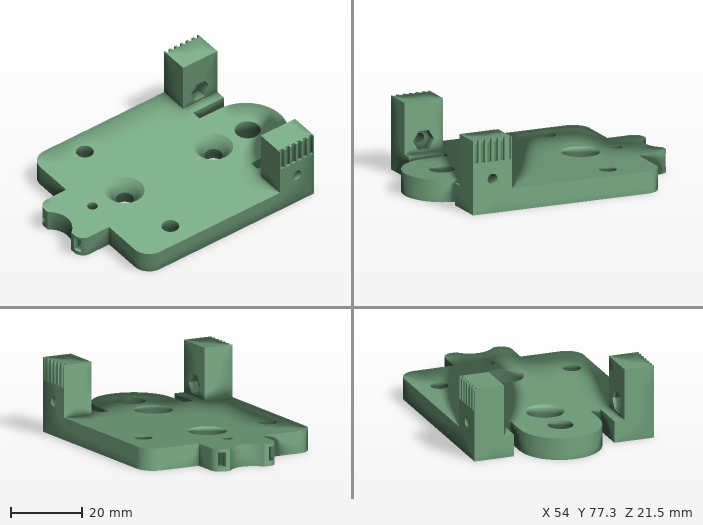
import cadquery as cq

width = 54.0
plate_length = 59.0
thickness = 6.4
corner_radius = 5.0

total_length = 77.25
total_height = 21.5

tab_width = 20.0
tab_length = 9.9
tab_corner_radius = 3.0
notch_depth = 2.85
notch_width = 11.0

channel_inner_radius = 6.9
channel_outer_radius = 9.05
channel_floor = 1.2
channel_height = 4.25

tongue_width = 23.95
slot_width = 3.1
slot_depth = 10.8

block_width = 8.9
block_length = 12.0

groove_count = 6
groove_pitch = 2.0
groove_width = 1.2
groove_depth = 0.85
groove_height = 6.6
groove_margin = 0.4

screw_diameter = 3.0
screw_height = 9.9
nut_across_corners = 6.5
nut_depth = 2.85

hole_diameter = 5.0
side_hole_x = 19.9
side_hole_y = 14.0
sink_diameter = 11.1
sink_angle = 90
front_sink_y = 13.0
rear_sink_y = 44.0
tongue_hole_diameter = 7.3
tongue_hole_y = 56.0
pin_diameter = 3.0
pin_y = 1.7
pin_depth = 3.1

tab_end = -tab_length
tongue_end = total_length - tab_length
tongue_radius = tongue_width / 2
tongue_centre_y = tongue_end - tongue_radius
slot_floor_y = plate_length - slot_depth
block_centre_y = plate_length - block_length / 2
notch_radius = ((notch_width / 2) ** 2 + notch_depth**2) / (2 * notch_depth)
notch_centre_y = tab_end + notch_depth - notch_radius


def base_plate():
    body = (
        cq.Workplane("XY")
        .rect(width, plate_length)
        .extrude(thickness)
        .translate((0, plate_length / 2, 0))
        .edges("|Z and <Y")
        .fillet(corner_radius)
    )
    slotted_width = tongue_width + 2 * slot_width
    slots = cq.Workplane("XY").rect(slotted_width, 2 * slot_depth).extrude(thickness)
    return body.cut(slots.translate((0, plate_length, 0)))


def tongue():
    return (
        cq.Workplane("XY")
        .moveTo(-tongue_radius, slot_floor_y)
        .lineTo(tongue_radius, slot_floor_y)
        .lineTo(tongue_radius, tongue_centre_y)
        .threePointArc((0, tongue_end), (-tongue_radius, tongue_centre_y))
        .close()
        .extrude(thickness)
    )


def tab():
    body = (
        cq.Workplane("XY")
        .rect(tab_width, tab_length)
        .extrude(thickness)
        .translate((0, -tab_length / 2, 0))
        .edges("|Z and <Y")
        .fillet(tab_corner_radius)
    )
    notch = cq.Workplane("XY").center(0, notch_centre_y).circle(notch_radius).extrude(thickness)
    channel = (
        cq.Workplane("XY", origin=(0, tab_end, channel_floor))
        .circle(channel_outer_radius)
        .circle(channel_inner_radius)
        .extrude(channel_height)
    )
    return body.cut(notch).cut(channel)


def left_block():
    outer_x = -width / 2
    inner_x = outer_x + block_width
    block = (
        cq.Workplane("XY")
        .box(block_width, block_length, total_height, centered=(False, True, False))
        .translate((outer_x, block_centre_y, 0))
    )
    for i in range(groove_count):
        groove = cq.Workplane("XY").box(groove_depth, groove_width, groove_height, centered=False)
        groove_y = plate_length - groove_margin - groove_width - i * groove_pitch
        block = block.cut(groove.translate((outer_x, groove_y, total_height - groove_height)))
    screw = (
        cq.Workplane("YZ", origin=(outer_x, block_centre_y, screw_height))
        .circle(screw_diameter / 2)
        .extrude(block_width)
    )
    nut = (
        cq.Workplane("YZ", origin=(inner_x, block_centre_y, screw_height))
        .polygon(6, nut_across_corners)
        .extrude(-nut_depth)
    )
    return block.cut(screw).cut(nut)


block = left_block()
result = base_plate().union(tongue()).union(tab()).union(block).union(block.mirror("YZ"))

top_face = cq.Workplane("XY", origin=(0, 0, thickness))
result = (
    result.copyWorkplane(top_face)
    .pushPoints([(-side_hole_x, side_hole_y), (side_hole_x, side_hole_y)])
    .hole(hole_diameter)
    .copyWorkplane(top_face)
    .pushPoints([(0, front_sink_y), (0, rear_sink_y)])
    .cskHole(hole_diameter, sink_diameter, sink_angle)
    .copyWorkplane(top_face)
    .center(0, tongue_hole_y)
    .hole(tongue_hole_diameter)
    .copyWorkplane(top_face)
    .center(0, pin_y)
    .hole(pin_diameter, pin_depth)
)